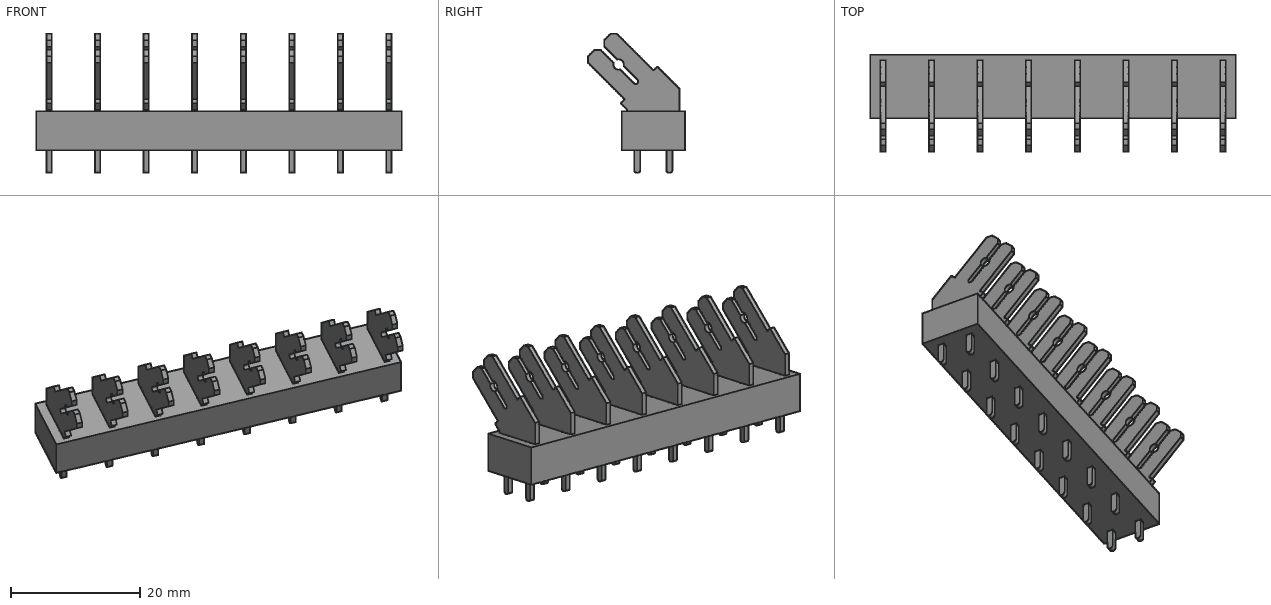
import cadquery as cq
import math


overall_depth = 15.05
overall_height = 21.5

housing_length = 56.5
housing_depth = 9.85
housing_height = 6.05

terminal_count = 8
end_margin = 2.0
terminal_thickness = 0.85
terminal_pitch = (housing_length - 2 * end_margin) / (terminal_count - 1)

leg_spacing = 5.0
leg_width = 0.95
leg_projection = 3.5
leg_tip_radius = 0.45

base_inset = 0.85
shoulder_half_width = 4.0

blade_length = 8.7
blade_half_width = 3.15
prong_chamfer = 0.7
slot_width = 0.75
slot_root = 0.75
keyhole_radius = 0.8
keyhole_distance = 4.45

diagonal = math.sqrt(0.5)
tip_reach = (blade_length - prong_chamfer + blade_half_width) * diagonal
housing_back = housing_depth / 2
shoulder_y = housing_back - overall_depth + tip_reach
shoulder_z = overall_height - housing_height - leg_projection - tip_reach

leg_centres = [-leg_spacing / 2, leg_spacing / 2]
terminal_centres = [(i - (terminal_count - 1) / 2) * terminal_pitch for i in range(terminal_count)]


def make_base():
    """Plate with upright back and front edges and a square shoulder across the blade axis."""
    shoulder_offset = shoulder_half_width * diagonal
    upper_y = shoulder_y + shoulder_offset
    upper_z = shoulder_z + shoulder_offset
    lower_y = shoulder_y - shoulder_offset
    lower_z = shoulder_z - shoulder_offset
    back_y = housing_back - base_inset
    front_y = -back_y
    outline = [
        (back_y, 0),
        (back_y, upper_z - (back_y - upper_y)),
        (upper_y, upper_z),
        (lower_y, lower_z),
        (front_y, lower_z - (front_y - lower_y)),
        (front_y, 0),
    ]
    return (
        cq.Workplane("YZ")
        .polyline(outline)
        .close()
        .extrude(terminal_thickness / 2, both=True)
    )


def make_blade():
    """Forked blade: two chamfered prongs parted by a round-ended slot with a keyhole."""
    blade_plane = cq.Workplane(
        cq.Plane(origin=(0, shoulder_y, shoulder_z), xDir=(0, -1, 1), normal=(1, 0, 0))
    )
    half_thickness = terminal_thickness / 2

    strip = (
        blade_plane.center(blade_length / 2, 0)
        .rect(blade_length, 2 * blade_half_width)
        .extrude(half_thickness, both=True)
    )
    slot_length = blade_length - slot_root
    slot = (
        blade_plane.center(slot_root + slot_length / 2, 0)
        .rect(slot_length, slot_width)
        .extrude(half_thickness, both=True)
    )
    slot_end = (
        blade_plane.center(slot_root, 0)
        .circle(slot_width / 2)
        .extrude(half_thickness, both=True)
    )
    keyhole = (
        blade_plane.center(keyhole_distance, 0)
        .circle(keyhole_radius)
        .extrude(half_thickness, both=True)
    )
    forked = strip.cut(slot).cut(slot_end).cut(keyhole)

    towards_tip = cq.Vector(0, -1, 1)
    prong_ends = forked.faces(cq.selectors.DirectionMinMaxSelector(towards_tip))
    return prong_ends.edges("|X").chamfer(prong_chamfer)


def make_leg(centre_y):
    """Leg running from the base plate through the housing to a rounded tip."""
    leg_length = housing_height + leg_projection
    leg = cq.Workplane("XY").box(
        terminal_thickness, leg_width, leg_length, centered=(True, True, False)
    )
    leg = leg.faces("<Z").edges("|X").fillet(leg_tip_radius)
    return leg.translate((0, centre_y, -leg_length))


def make_terminal():
    """One flat terminal in the middle of the row: base plate, blade and two legs."""
    terminal = make_base().union(make_blade())
    for leg_y in leg_centres:
        terminal = terminal.union(make_leg(leg_y))
    return terminal


def make_housing():
    """Rectangular bar with a through hole for every terminal leg."""
    bar = cq.Workplane("XY").box(
        housing_length, housing_depth, housing_height, centered=(True, True, False)
    )
    leg_positions = [(x, y) for x in terminal_centres for y in leg_centres]
    holes = (
        cq.Workplane("XY")
        .pushPoints(leg_positions)
        .rect(terminal_thickness, leg_width)
        .extrude(housing_height)
    )
    return bar.cut(holes).translate((0, 0, -housing_height))


housing = make_housing().solids().val()
middle_terminal = make_terminal().solids().val()
terminals = [middle_terminal.translate(cq.Vector(x, 0, 0)) for x in terminal_centres]

result = cq.Compound.makeCompound([housing, *terminals])